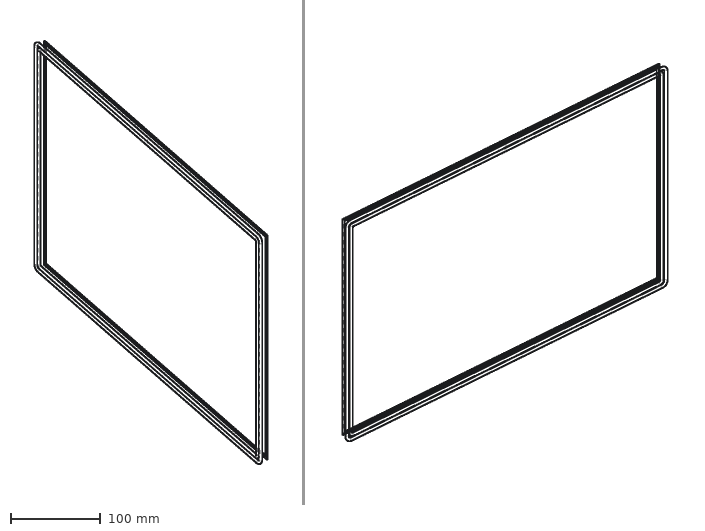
import cadquery as cq

LENGTH = 458.5
HEIGHT = 312.8
DEPTH = 13.0

CORD_DIAMETER = 4.0
CORD_GAP = 2.0
OUTER_BEND_RADIUS = 6.0
INNER_BEND_RADIUS = 2.5

FRAME_INSET = 3.5
FRAME_WIDTH = 2.8
FRAME_THICKNESS = 1.5

CORD_RADIUS = CORD_DIAMETER / 2
FRONT_Y = -DEPTH / 2
BACK_Y = DEPTH / 2
RING_Y = FRONT_Y + CORD_RADIUS


def rectangle_plate(inset, front_y, thickness):
    """Rectangular plate set in from the overall outline, growing toward +Y."""
    return (
        cq.Workplane("XZ", origin=(0, front_y, 0))
        .rect(LENGTH - 2 * inset, HEIGHT - 2 * inset)
        .extrude(-thickness)
    )


def cord_ring(inset, bend_radius):
    """Round cord bent into a rectangle with rounded corners."""
    half_length = LENGTH / 2 - inset - CORD_RADIUS
    half_height = HEIGHT / 2 - inset - CORD_RADIUS
    straight_x = half_length - bend_radius
    straight_z = half_height - bend_radius
    path = (
        cq.Workplane("XZ", origin=(0, RING_Y, 0))
        .moveTo(0, half_height)
        .lineTo(straight_x, half_height)
        .tangentArcPoint((half_length, straight_z), relative=False)
        .lineTo(half_length, -straight_z)
        .tangentArcPoint((straight_x, -half_height), relative=False)
        .lineTo(-straight_x, -half_height)
        .tangentArcPoint((-half_length, -straight_z), relative=False)
        .lineTo(-half_length, straight_z)
        .tangentArcPoint((-straight_x, half_height), relative=False)
        .close()
    )
    section = (
        cq.Workplane("YZ", origin=(0, RING_Y, half_height))
        .moveTo(0, CORD_RADIUS)
        .threePointArc((CORD_RADIUS, 0), (0, -CORD_RADIUS))
        .threePointArc((-CORD_RADIUS, 0), (0, CORD_RADIUS))
        .close()
    )
    return section.sweep(path, clean=False)


def flat_frame():
    """Thin rectangular frame with square corners, behind the gap between the cords."""
    front_y = BACK_Y - FRAME_THICKNESS
    plate = rectangle_plate(FRAME_INSET, front_y, FRAME_THICKNESS)
    opening = rectangle_plate(FRAME_INSET + FRAME_WIDTH, front_y, FRAME_THICKNESS)
    return plate.cut(opening)


outer_ring = cord_ring(0, OUTER_BEND_RADIUS)
inner_ring = cord_ring(CORD_DIAMETER + CORD_GAP, INNER_BEND_RADIUS)
back_frame = flat_frame()

result = cq.Compound.makeCompound([outer_ring.val(), inner_ring.val(), back_frame.val()])